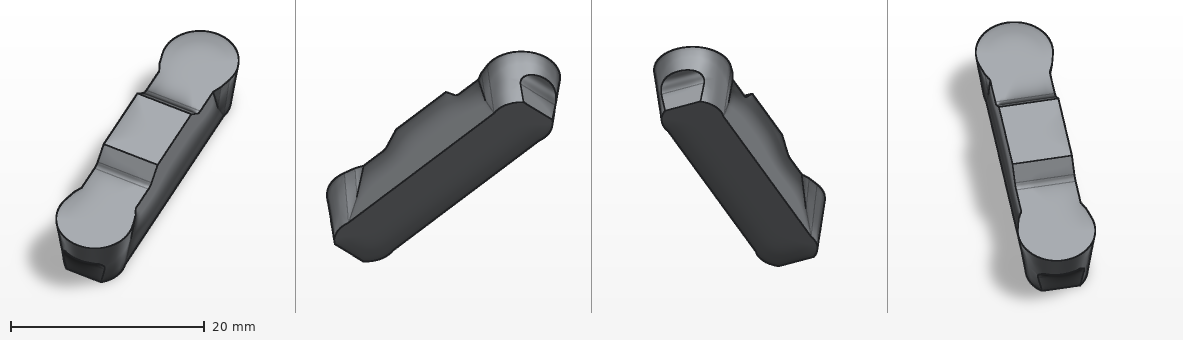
import cadquery as cq
import math

length = 32.0
head_radius = 4.0
seat_height = 6.4
total_height = 8.05
body_width = 6.25
relief_angle = 7.0

head_center_y = length / 2 - head_radius
flank_angle = 14.5
flank_end_y = 9.73
neck_angle = 25.0
head_root_y = 8.0

hump_half_length = 3.85
hump_slope = 45.0
hump_root_radius = 1.0

notch_y = 14.53
notch_radius = 1.45
notch_straight_height = 2.3

body_half_length = head_center_y - 0.48


def make_body():
    """Straight bar with a raised middle and rounded roots on its slopes."""
    slope = math.radians(hump_slope)
    root_y = hump_half_length + (total_height - seat_height) / math.tan(slope)
    tangent = hump_root_radius * math.tan(slope / 2)
    slope_y = root_y - tangent * math.cos(slope)
    slope_z = seat_height + tangent * math.sin(slope)
    seat_y = root_y + tangent
    middle_y = seat_y - hump_root_radius * math.sin(slope / 2)
    middle_z = seat_height + hump_root_radius * (1 - math.cos(slope / 2))
    return (
        cq.Workplane("YZ")
        .moveTo(-body_half_length, 0)
        .lineTo(body_half_length, 0)
        .lineTo(body_half_length, seat_height)
        .lineTo(seat_y, seat_height)
        .threePointArc((middle_y, middle_z), (slope_y, slope_z))
        .lineTo(hump_half_length, total_height)
        .lineTo(-hump_half_length, total_height)
        .lineTo(-slope_y, slope_z)
        .threePointArc((-middle_y, middle_z), (-seat_y, seat_height))
        .lineTo(-body_half_length, seat_height)
        .close()
        .extrude(body_width / 2, both=True)
    )


def make_head():
    """Round head at the +Y end, narrowing downward by the relief angle."""
    flank = math.radians(flank_angle)
    tangent_x = head_radius * math.cos(flank)
    tangent_y = head_center_y - head_radius * math.sin(flank)
    flank_end_x = tangent_x - (tangent_y - flank_end_y) * math.tan(flank)
    root_x = flank_end_x - (flank_end_y - head_root_y) * math.tan(math.radians(neck_angle))
    return (
        cq.Workplane("XY", origin=(0, 0, seat_height))
        .moveTo(tangent_x, tangent_y)
        .threePointArc((0, length / 2), (-tangent_x, tangent_y))
        .lineTo(-flank_end_x, flank_end_y)
        .lineTo(-root_x, head_root_y)
        .lineTo(root_x, head_root_y)
        .lineTo(flank_end_x, flank_end_y)
        .close()
        .extrude(-seat_height, taper=relief_angle)
    )


def make_notch():
    """Cutter for the flat and its concave top under the +Y nose."""
    arc_center_y = notch_y + notch_radius
    diagonal = notch_radius * math.sqrt(0.5)
    return (
        cq.Workplane("YZ")
        .moveTo(notch_y, 0)
        .lineTo(notch_y, notch_straight_height)
        .threePointArc(
            (arc_center_y - diagonal, notch_straight_height + diagonal),
            (arc_center_y, notch_straight_height + notch_radius),
        )
        .lineTo(length / 2, notch_straight_height + notch_radius)
        .lineTo(length / 2, 0)
        .close()
        .extrude(head_radius, both=True)
    )


head = make_head().cut(make_notch())
result = make_body().union(head).union(head.mirror("XZ"))